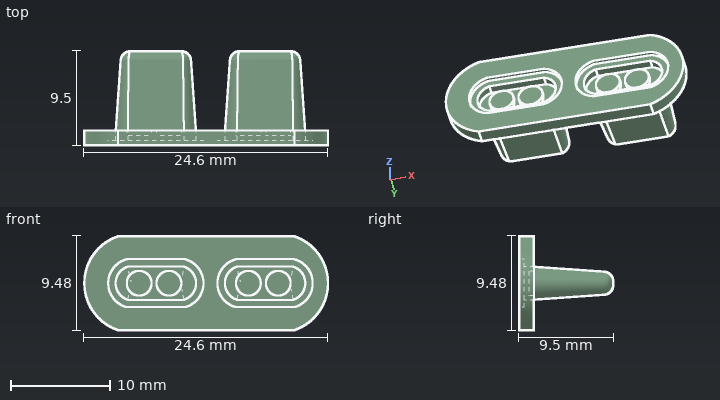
import cadquery as cq
import math


plate_length = 24.57
plate_height = 9.48
plate_end_radius = 5.0
plate_thickness = 1.5

socket_length = 8.1
socket_height = 3.34
socket_end_radius = 1.75
recess_margin = 0.75
recess_depth = 0.5

plug_pitch = 11.0
plug_row_offset = 0.43
plug_centres = [plug_row_offset + side * plug_pitch / 2 for side in (-1, 1)]

prong_length = 8.0
prong_taper_angle = 4.0
prong_tip_inset = prong_length * math.tan(math.radians(prong_taper_angle))
prong_tip_y = plate_thickness + prong_length
prong_tip_fillet = 1.0

pin_diameter = 2.5
pin_pitch = 3.0
pin_pair_offset = -0.18
pin_height = 0.5


def flat_sided_outline(y, centre_x, length, height, end_radius):
    """Closed outline in the XZ plane at the given Y, extruding toward +Y."""
    half_length = length / 2
    half_height = height / 2
    arc_centre = half_length - end_radius
    half_flat = arc_centre + math.sqrt(end_radius**2 - half_height**2)
    plane = cq.Plane(origin=(centre_x, y, 0), xDir=(-1, 0, 0), normal=(0, 1, 0))
    return (
        cq.Workplane(plane)
        .moveTo(-half_flat, half_height)
        .lineTo(half_flat, half_height)
        .threePointArc((half_length, 0), (half_flat, -half_height))
        .lineTo(-half_flat, -half_height)
        .threePointArc((-half_length, 0), (-half_flat, half_height))
        .close()
    )


def socket_outline(y, centre_x, margin=0.0):
    """Socket outline, grown on every side by the margin (shrunk if negative)."""
    return flat_sided_outline(
        y,
        centre_x,
        socket_length + 2 * margin,
        socket_height + 2 * margin,
        socket_end_radius + margin,
    )


def make_plate():
    outline = flat_sided_outline(0, 0, plate_length, plate_height, plate_end_radius)
    plate = outline.extrude(plate_thickness)
    for centre_x in plug_centres:
        recess = socket_outline(0, centre_x, recess_margin).extrude(recess_depth)
        socket = socket_outline(0, centre_x).extrude(plate_thickness)
        plate = plate.cut(recess).cut(socket)
    return plate


def make_prong(centre_x):
    """Prong that closes the back of a socket and narrows to a rounded tip."""
    base = socket_outline(plate_thickness, centre_x).val()
    tip = socket_outline(prong_tip_y, centre_x, -prong_tip_inset).val()
    prong = cq.Workplane(cq.Solid.makeLoft([base, tip], True))
    return prong.faces(">Y").edges().fillet(prong_tip_fillet)


def make_pins(centre_x):
    """Pair of round pins rising from the prong base toward the front."""
    pair_centre = centre_x + pin_pair_offset
    return (
        cq.Workplane("XZ", origin=(pair_centre, plate_thickness, 0))
        .rarray(pin_pitch, 1, 2, 1)
        .circle(pin_diameter / 2)
        .extrude(pin_height)
    )


def make_plug(centre_x):
    return make_prong(centre_x).union(make_pins(centre_x))


plate = make_plate()
plugs = [make_plug(centre_x) for centre_x in plug_centres]

bodies = [plate, *plugs]
result = cq.Compound.makeCompound([body.solids().val() for body in bodies])